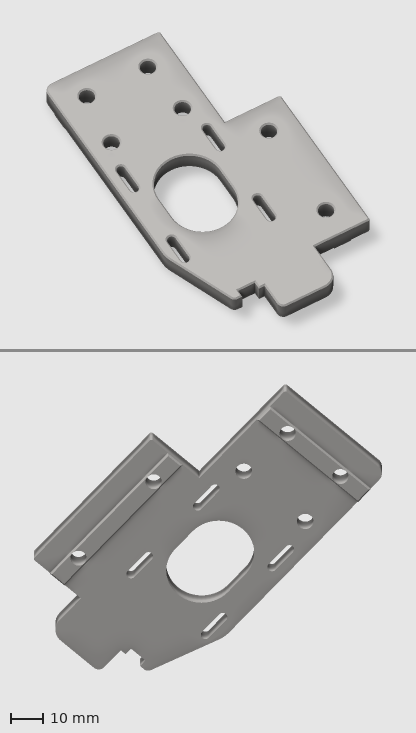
import cadquery as cq

length = 110.0
plate_thickness = 6.0
pad_height = 1.0
edge_chamfer = 0.5

body_depth = 42.0
block_left = 40.0
block_right = 95.0
block_back = 62.0
tab_front = 21.0
lip_x = 100.0
notch_x = 97.5
notch_front = 13.0
notch_back = 19.0
slope_start_x = 75.0
slope_end_y = 10.0

front_left_radius = 3.1
slope_start_radius = 10.0
lip_radius = 2.0
tab_front_radius = 2.2
tab_back_radius = 5.0

mount_hole_diameter = 5.1
side_hole_diameter = 5.2
left_hole_x = 10.0
left_hole_ys = (10.0, 32.0)
back_hole_xs = (50.0, 85.0)
back_hole_y = 52.0

motor_x = 59.0
motor_y = 20.5
opening_length = 30.0
opening_width = 22.0
slot_pitch = 31.0
slot_length = 11.0
slot_width = 2.9
side_hole_x = 29.0
side_hole_pitch = 25.6

strip_width = 6.0


def upright_edge_near(x, y):
    """Selector for the vertical plate edge that stands at (x, y)."""
    return cq.NearestToPointSelector((x, y, plate_thickness / 2))


def plate_blank():
    """Plate outline with its corners rounded or chamfered, extruded to the plate thickness."""
    blank = (
        cq.Workplane("XY")
        .polyline([
            (0, 0),
            (slope_start_x, 0),
            (lip_x, slope_end_y),
            (lip_x, notch_front),
            (notch_x, notch_front),
            (notch_x, notch_back),
            (lip_x, notch_back),
            (lip_x, tab_front),
            (length, tab_front),
            (length, body_depth),
            (block_right, body_depth),
            (block_right, block_back),
            (block_left, block_back),
            (block_left, body_depth),
            (0, body_depth),
        ])
        .close()
        .extrude(plate_thickness)
    )
    rounded_corners = [
        (0, 0, front_left_radius),
        (slope_start_x, 0, slope_start_radius),
        (lip_x, slope_end_y, lip_radius),
        (length, tab_front, tab_front_radius),
        (length, body_depth, tab_back_radius),
    ]
    for x, y, radius in rounded_corners:
        blank = blank.edges(upright_edge_near(x, y)).fillet(radius)
    sharp_corners = [
        (0, body_depth),
        (block_left, block_back),
        (block_right, block_back),
    ]
    for x, y in sharp_corners:
        blank = blank.edges(upright_edge_near(x, y)).chamfer(edge_chamfer)
    return blank


def strip_pad(x_min, x_max, y_min, y_max):
    """Raised strip under the plate, chamfered around its lower edge."""
    strip = (
        cq.Workplane("XY", origin=(x_min, y_min, -pad_height))
        .box(x_max - x_min, y_max - y_min, pad_height, centered=False)
    )
    return strip.faces("<Z").chamfer(edge_chamfer)


def through_workplane():
    """Workplane at the bottom of the pads, where the cutters start."""
    return cq.Workplane("XY", origin=(0, 0, -pad_height))


cut_height = plate_thickness + pad_height
left_holes = [(left_hole_x, y) for y in left_hole_ys]
back_holes = [(x, back_hole_y) for x in back_hole_xs]
side_holes = [(side_hole_x, motor_y + side * side_hole_pitch / 2) for side in (-1, 1)]
slots = [
    (motor_x + x_side * slot_pitch / 2, motor_y + y_side * slot_pitch / 2)
    for x_side in (-1, 1)
    for y_side in (-1, 1)
]
cutters = [
    through_workplane().pushPoints(left_holes + back_holes).circle(mount_hole_diameter / 2).extrude(cut_height),
    through_workplane().pushPoints(side_holes).circle(side_hole_diameter / 2).extrude(cut_height),
    through_workplane().pushPoints(slots).slot2D(slot_length, slot_width).extrude(cut_height),
    through_workplane().center(motor_x, motor_y).slot2D(opening_length, opening_width).extrude(cut_height),
]

plate = plate_blank()
for cutter in cutters:
    plate = plate.cut(cutter)
plate = plate.faces(">Z").chamfer(edge_chamfer)

half_strip = strip_width / 2
left_strip = strip_pad(left_hole_x - half_strip, left_hole_x + half_strip, 0, body_depth)
back_strip = strip_pad(block_left, block_right, back_hole_y - half_strip, back_hole_y + half_strip)
result = plate
for strip in (left_strip, back_strip):
    for cutter in cutters:
        strip = strip.cut(cutter)
    result = result.union(strip)